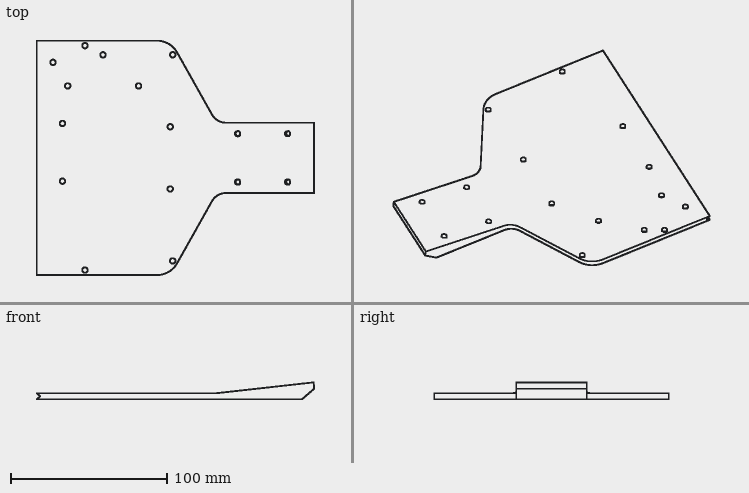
import cadquery as cq
import math

length = 177.5
width = 150.0
height = 11.0
thickness = 4.0
edge_groove_depth = 2.1

shoulder_x = 85.5
neck_x = 115.0
neck_width = 45.1
shoulder_radius = 15.0
neck_radius = 10.0

ramp_start_x = 114.9
ramp_blend_radius = 20.0
undercut_start_x = 169.5
end_face_bottom_z = 7.0
ramp_rise = height - thickness
end_face_rise = height - end_face_bottom_z
ramp_reach = length - ramp_start_x
ramp_run = (ramp_reach + math.sqrt(ramp_reach**2 - 4 * ramp_rise * end_face_rise)) / 2
ramp_angle = math.degrees(math.atan2(ramp_rise, ramp_run))
tip_x = ramp_start_x + ramp_run

hole_diameter = 3.4
mirrored_plate_holes = [(30.9, 71.7), (87.0, 65.9), (85.4, 19.9)]
single_plate_holes = [(42.5, 65.9), (10.5, 61.0), (19.9, 46.0), (65.2, 46.0), (16.5, 22.0), (16.5, -15.0)]
neck_hole_xs = [128.4, 160.3]
neck_hole_y = 15.5


def fillet_corners(body, corner_x, radius):
    """Round the mirrored pair of upright edges at the given X."""
    search_margin = 1.8
    corner_box = cq.selectors.BoxSelector(
        (corner_x - search_margin, -width, 0),
        (corner_x + search_margin, width, height),
    )
    return body.edges("|Z").edges(corner_box).fillet(radius)


def make_plan():
    """Wide plate tapering to the neck, tall enough to contain the whole part."""
    half_width = width / 2
    half_neck = neck_width / 2
    plan = (
        cq.Workplane("XY")
        .moveTo(0, -half_width)
        .lineTo(shoulder_x, -half_width)
        .lineTo(neck_x, -half_neck)
        .lineTo(length, -half_neck)
        .lineTo(length, half_neck)
        .lineTo(neck_x, half_neck)
        .lineTo(shoulder_x, half_width)
        .lineTo(0, half_width)
        .close()
        .extrude(height)
    )
    plan = fillet_corners(plan, shoulder_x, shoulder_radius)
    return fillet_corners(plan, neck_x, neck_radius)


def make_side_profile():
    """Side section with the grooved rear edge, blended ramp and undercut tip."""
    blend_length = ramp_blend_radius * math.tan(math.radians(ramp_angle / 2))
    slope = math.radians(ramp_angle)
    blend_end = (
        ramp_start_x + blend_length * math.cos(slope),
        thickness + blend_length * math.sin(slope),
    )
    return (
        cq.Workplane("XZ")
        .moveTo(0, 0)
        .lineTo(undercut_start_x, 0)
        .lineTo(length, end_face_bottom_z)
        .lineTo(tip_x, height)
        .lineTo(*blend_end)
        .radiusArc((ramp_start_x - blend_length, thickness), ramp_blend_radius)
        .lineTo(0, thickness)
        .lineTo(edge_groove_depth, thickness / 2)
        .close()
        .extrude(width / 2, both=True)
    )


def make_plate_holes():
    points = list(single_plate_holes)
    for x, y in mirrored_plate_holes:
        points += [(x, y), (x, -y)]
    return cq.Workplane("XY").pushPoints(points).circle(hole_diameter / 2).extrude(height)


def make_neck_hole_pair(x):
    """Mirrored pair of through-hole cutters square to the ramp surface."""
    slope = math.radians(ramp_angle)
    ramp_normal = cq.Vector(-math.sin(slope), 0, math.cos(slope))
    ramp_z = thickness + (x - ramp_start_x) * math.tan(slope)
    cutters = cq.Workplane("XY")
    for y in (-neck_hole_y, neck_hole_y):
        start = cq.Vector(x, y, ramp_z) - ramp_normal * height * 2
        cutters = cutters.add(cq.Solid.makeCylinder(hole_diameter / 2, height * 3, start, ramp_normal))
    return cutters.combine()


result = make_plan().intersect(make_side_profile())
result = result.cut(make_plate_holes())
for neck_hole_x in neck_hole_xs:
    result = result.cut(make_neck_hole_pair(neck_hole_x))